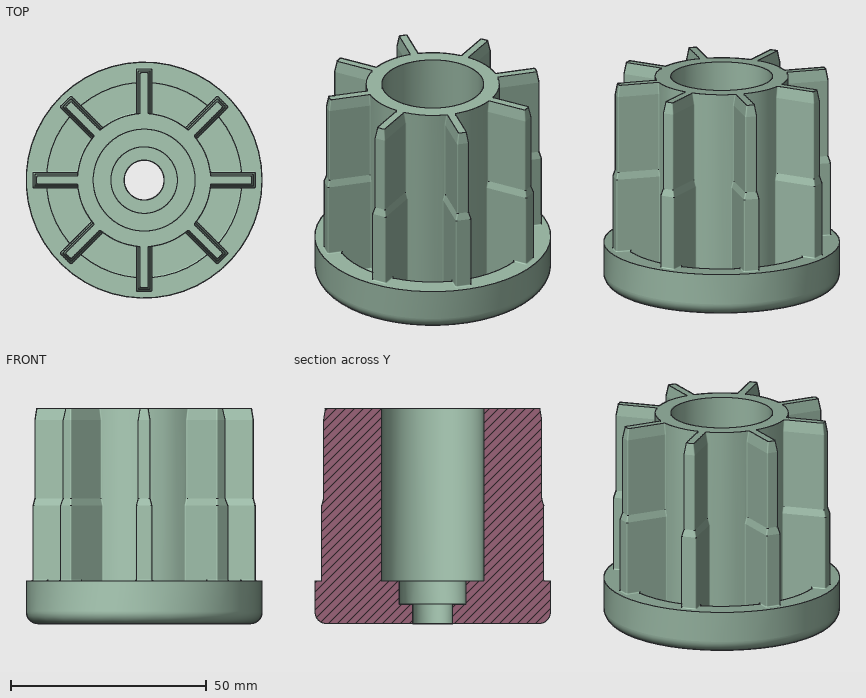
import cadquery as cq
import math

base_radius = 30.15
base_height = 11.0
base_edge_fillet = 3.0
floor_thickness = 5.0
pocket_radius = 24.95

total_height = 55.0
tube_radius = 17.0
bore_radius = 13.0
seat_radius = 8.5
screw_hole_radius = 5.05

rib_count = 8
rib_reach = 28.4
rib_half_width = 2.0
step_inset = 0.5
tip_inset = 2 * step_inset
step_bottom = 30.15
step_top = 31.95
tip_bottom = 52.0
rib_levels = [
    (floor_thickness, 0.0),
    (step_bottom, 0.0),
    (step_top, step_inset),
    (tip_bottom, step_inset),
    (total_height, tip_inset),
]

small_fillet = 0.3

tolerance = 0.005


def cylinder(radius, bottom, top):
    return cq.Workplane("XY").workplane(offset=bottom).circle(radius).extrude(top - bottom)


def rib_outline(height, inset):
    """Closed outline of a rib along +X, with rounded outer corners and flared roots on the tube."""
    half = rib_half_width - inset
    reach = rib_reach - inset
    r = small_fillet
    diagonal = r * math.sqrt(0.5)

    root_y = half + r
    root_angle = math.asin(root_y / (tube_radius + r))
    root_x = (tube_radius + r) * math.cos(root_angle)
    tube_x = tube_radius * math.cos(root_angle)
    tube_y = tube_radius * math.sin(root_angle)
    mid_angle = (root_angle + math.pi / 2) / 2
    mid_x = root_x - r * math.cos(mid_angle)
    mid_y = root_y - r * math.sin(mid_angle)
    inner_x = (bore_radius + tube_radius) / 2
    corner_x = reach - r + diagonal
    corner_y = half - r + diagonal

    outline = (
        cq.Workplane("XY", origin=(0, 0, height))
        .moveTo(inner_x, -tube_y)
        .lineTo(tube_x, -tube_y)
        .threePointArc((mid_x, -mid_y), (root_x, -half))
        .lineTo(reach - r, -half)
        .threePointArc((corner_x, -corner_y), (reach, r - half))
        .lineTo(reach, half - r)
        .threePointArc((corner_x, corner_y), (reach - r, half))
        .lineTo(root_x, half)
        .threePointArc((mid_x, mid_y), (tube_x, tube_y))
        .lineTo(inner_x, tube_y)
        .close()
    )
    return outline.val()


def make_rib():
    outlines = [rib_outline(height, inset) for height, inset in rib_levels]
    return cq.Workplane(cq.Solid.makeLoft(outlines, True))


def make_base():
    base = cylinder(base_radius, 0, base_height).faces("<Z").edges().fillet(base_edge_fillet)
    return base.cut(cylinder(pocket_radius, floor_thickness, base_height))


def is_inner_corner(edge):
    """True for the pocket floor edges, the pocket wall corners and the rib feet on the rim."""
    point = edge.positionAt(0.5)
    radius = math.hypot(point.x, point.y)
    level = edge.BoundingBox().zlen < tolerance
    on_floor = level and abs(point.z - floor_thickness) < tolerance
    on_rim = level and abs(point.z - base_height) < tolerance
    floor_edge = on_floor and radius > tube_radius - tolerance
    foot_edge = on_rim and pocket_radius + tolerance < radius < base_radius - tolerance
    wall_corner = not level and abs(radius - pocket_radius) < tolerance
    return floor_edge or foot_edge or wall_corner


body = make_base().union(cylinder(tube_radius, floor_thickness, total_height))
rib = make_rib()
for index in range(rib_count):
    body = body.union(rib.rotate((0, 0, 0), (0, 0, 1), index * 360 / rib_count))
inner_corners = [edge for edge in body.edges().vals() if is_inner_corner(edge)]
body = body.newObject(inner_corners).fillet(small_fillet)

body = body.cut(cylinder(bore_radius, base_height, total_height))
body = body.cut(cylinder(seat_radius, floor_thickness, base_height))
result = body.cut(cylinder(screw_hole_radius, 0, floor_thickness))